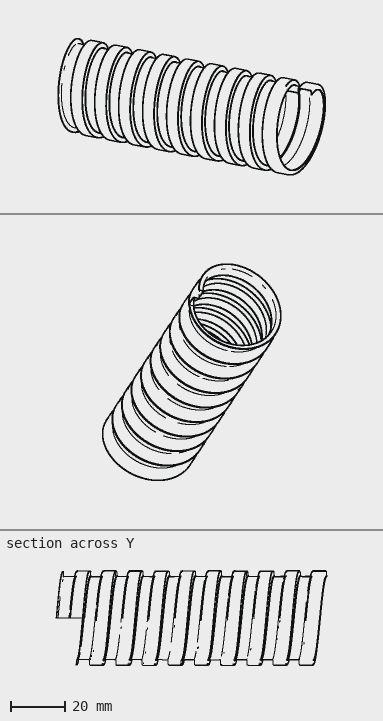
import cadquery as cq

total_length = 100.0
outer_radius = 17.5
bore_radius = 15.2
sheet = 0.25
strip_width = 10.5
flange = 0.1
rib_wall = 5.0
turns = 9.262
inside_bend = 0.3

pitch = (total_length - strip_width) / turns
outside_bend = inside_bend + sheet
valley_radius = bore_radius + sheet
rib_inner_radius = outer_radius - sheet
lip_bottom = rib_inner_radius - sheet
foot_top = valley_radius + sheet
lip_right = flange + sheet
rib_right = strip_width - flange
rib_right_inside = rib_right - sheet
rib_wall_inside = rib_wall + sheet


def strip_outline():
    """Closed strip section: radius along local X, hose axis along local Y."""
    section = cq.Workplane("XZ").moveTo(rib_inner_radius, 0)

    section = section.lineTo(lip_bottom, 0).lineTo(lip_bottom, flange)
    section = section.lineTo(bore_radius + outside_bend, flange)
    section = section.tangentArcPoint((bore_radius, flange + outside_bend), relative=False)

    section = section.lineTo(bore_radius, rib_wall_inside - outside_bend)
    section = section.tangentArcPoint((bore_radius + outside_bend, rib_wall_inside), relative=False)
    section = section.lineTo(rib_inner_radius - inside_bend, rib_wall_inside)
    section = section.tangentArcPoint((rib_inner_radius, rib_wall_inside + inside_bend), relative=False)
    section = section.lineTo(rib_inner_radius, rib_right_inside - inside_bend)
    section = section.tangentArcPoint((rib_inner_radius - inside_bend, rib_right_inside), relative=False)
    section = section.lineTo(valley_radius, rib_right_inside)

    section = section.lineTo(valley_radius, strip_width).lineTo(foot_top, strip_width)
    section = section.lineTo(foot_top, rib_right)

    section = section.lineTo(outer_radius - outside_bend, rib_right)
    section = section.tangentArcPoint((outer_radius, rib_right - outside_bend), relative=False)
    section = section.lineTo(outer_radius, rib_wall + outside_bend)
    section = section.tangentArcPoint((outer_radius - outside_bend, rib_wall), relative=False)
    section = section.lineTo(valley_radius + inside_bend, rib_wall)
    section = section.tangentArcPoint((valley_radius, rib_wall - inside_bend), relative=False)
    section = section.lineTo(valley_radius, lip_right + inside_bend)
    section = section.tangentArcPoint((valley_radius + inside_bend, lip_right), relative=False)
    return section.lineTo(rib_inner_radius, lip_right).close()


helix = cq.Wire.makeHelix(pitch, pitch * turns, outer_radius)
hose = strip_outline().sweep(cq.Workplane(obj=helix), isFrenet=True)

result = hose.rotate((0, 0, 0), (1, 1, 1), 120)